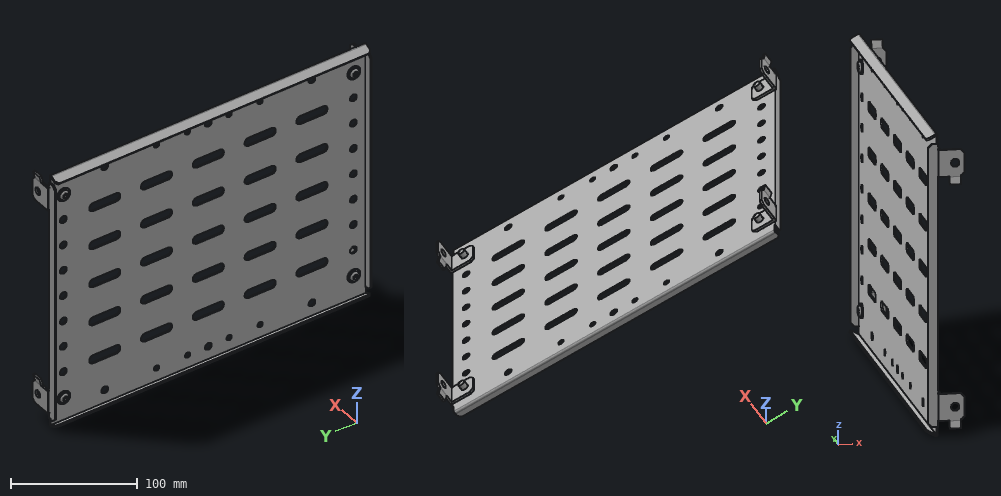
import cadquery as cq
import math

plate_sheet = 1.5
bracket_sheet = 2.0

plate_height = 247.66
plate_width = 306.0
web_width = 304.0
lip_reach = 9.52
lip_angle = 28.0
lip_corner = 2.5
side_flange_depth = 8.0
side_flange_height = 232.0
side_flange_corner = 3.0

slot_length = 30.0
slot_width = 8.0
slot_columns = 5
slot_rows = 5
slot_pitch_y = 50.0
slot_pitch_z = 37.5
hole_dia = 6.5
small_hole_dia = 5.0
side_hole_y = 140.0
side_hole_count = 7
side_hole_pitch = 25.0
edge_hole_z = 110.0
edge_holes_y = (-100.0, 0.0, 100.0)
small_edge_holes_y = (-50.0, -20.0, 20.0, 50.0)

screw_y = side_hole_y
screw_z = 100.0
bracket_outer_y = 154.25
bracket_height = 22.0
leg_length = 22.0
arm_length = 21.0
bracket_corner = 3.0
arm_hole_dia = 6.5
arm_hole_x = 13.5
tab_width = 9.0
tab_offset = 1.5
tab_lean = 13.5

thread_dia = 6.0
thread_end = 7.0
flange_dia = 12.0
flange_thickness = 1.0
head_dia = 9.0
head_height = 2.0
head_rounding = 1.5
socket_across_flats = 4.0
socket_depth = 2.0


def yz_cutter(points, diameter):
    """Round bars along X, long enough to pass through the plate web."""
    start = cq.Workplane("YZ", origin=(-2 * plate_sheet, 0, 0))
    return start.pushPoints(points).circle(diameter / 2).extrude(4 * plate_sheet)


def make_lipped_web():
    """Web with a sloping flange folded forward along its upper and lower edges."""
    angle = math.radians(lip_angle)
    normal = (-math.sin(angle), math.cos(angle))
    fold_z = plate_height / 2 - plate_sheet
    half_arc = math.radians(lip_angle + 90) / 2
    arc_middle = (
        -plate_sheet + plate_sheet * math.cos(half_arc),
        fold_z + plate_sheet * math.sin(half_arc),
    )
    arc_end = (-plate_sheet + plate_sheet * normal[0], fold_z + plate_sheet * normal[1])
    slope_length = (lip_reach + arc_end[0]) / math.cos(angle)
    drop = slope_length * math.sin(angle)
    outer_tip = (-lip_reach, arc_end[1] - drop)
    inner_tip = (outer_tip[0] - plate_sheet * normal[0], outer_tip[1] - plate_sheet * normal[1])
    upper = (
        cq.Workplane("XZ", origin=(0, web_width / 2, 0))
        .moveTo(0, 0)
        .lineTo(0, fold_z)
        .threePointArc(arc_middle, arc_end)
        .lineTo(*outer_tip)
        .lineTo(*inner_tip)
        .lineTo(-plate_sheet, fold_z)
        .lineTo(-plate_sheet, 0)
        .close()
        .extrude(web_width)
    )
    envelope = (
        cq.Workplane("XY")
        .box(lip_reach, web_width, plate_height)
        .edges("|Z and <X")
        .chamfer(lip_corner)
        .translate((-lip_reach / 2, 0, 0))
    )
    return upper.union(upper.mirror("XY")).intersect(envelope)


def make_side_channel():
    """Web with the two square side flanges."""
    outer = cq.Workplane("XY").box(side_flange_depth, plate_width, side_flange_height)
    inside = cq.Workplane("XY").box(side_flange_depth, plate_width - 2 * plate_sheet, side_flange_height)
    channel = outer.cut(inside.translate((-plate_sheet, 0, 0)))
    channel = channel.edges("|Y and <X").chamfer(side_flange_corner)
    return channel.translate((-side_flange_depth / 2, 0, 0))


def make_plate():
    """Folded plate with its slot grid, edge holes and screw holes."""
    plate = make_lipped_web().union(make_side_channel())
    slots = (
        cq.Workplane("YZ", origin=(-2 * plate_sheet, 0, 0))
        .rarray(slot_pitch_y, slot_pitch_z, slot_columns, slot_rows)
        .slot2D(slot_length, slot_width)
        .extrude(4 * plate_sheet)
    )
    first_z = -side_hole_pitch * (side_hole_count - 1) / 2
    side_holes = [
        (y, first_z + i * side_hole_pitch)
        for y in (-side_hole_y, side_hole_y)
        for i in range(side_hole_count)
    ]
    edge_rows = (-edge_hole_z, edge_hole_z)
    edge_holes = [(y, z) for y in edge_holes_y for z in edge_rows]
    small_holes = [(y, z) for y in small_edge_holes_y for z in edge_rows]
    screw_holes = [(y, z) for y in (-screw_y, screw_y) for z in (-screw_z, screw_z)]
    plate = plate.cut(slots)
    plate = plate.cut(yz_cutter(side_holes + edge_holes, hole_dia))
    plate = plate.cut(yz_cutter(small_holes, small_hole_dia))
    return plate.cut(yz_cutter(screw_holes, thread_dia))


def make_tab():
    """Tab rising from the top of the arm and leaning outward (+Y)."""
    root_z = bracket_height / 2
    lean = math.radians(tab_lean)
    inner_y = bracket_outer_y - bracket_sheet
    outer_tip = (bracket_outer_y + tab_offset, root_z + tab_offset / math.tan(lean))
    inner_tip = (
        outer_tip[0] - bracket_sheet * math.cos(lean),
        outer_tip[1] + bracket_sheet * math.sin(lean),
    )
    inner_bend_z = root_z + bracket_sheet * math.tan(lean / 2)
    return (
        cq.Workplane("YZ", origin=(arm_hole_x - tab_width / 2, 0, 0))
        .moveTo(bracket_outer_y, root_z)
        .lineTo(*outer_tip)
        .lineTo(*inner_tip)
        .lineTo(inner_y, inner_bend_z)
        .lineTo(inner_y, root_z)
        .close()
        .extrude(tab_width)
    )


def make_bracket():
    """Angle bracket for the +Y edge of the plate, centred on Z = 0."""
    leg = (
        cq.Workplane("XY")
        .box(bracket_sheet, leg_length, bracket_height, centered=(False, False, True))
        .translate((0, bracket_outer_y - leg_length, 0))
        .edges("|X and <Y")
        .chamfer(bracket_corner)
    )
    arm = (
        cq.Workplane("XY")
        .box(arm_length, bracket_sheet, bracket_height, centered=(False, False, True))
        .translate((0, bracket_outer_y - bracket_sheet, 0))
        .edges("|Y and >X")
        .chamfer(bracket_corner)
    )
    arm_hole = (
        cq.Workplane("XZ", origin=(arm_hole_x, bracket_outer_y, 0))
        .circle(arm_hole_dia / 2)
        .extrude(bracket_sheet)
    )
    bracket = leg.union(arm).union(make_tab()).cut(arm_hole)
    return bracket.cut(yz_cutter([(screw_y, 0)], thread_dia))


def make_screw():
    """Flanged screw on the X axis, its flange seated on the front of the web."""
    seat = -plate_sheet
    head_base = seat - flange_thickness
    head_top = head_base - head_height
    shank = cq.Workplane("YZ", origin=(seat, 0, 0)).circle(thread_dia / 2).extrude(thread_end - seat)
    flange = cq.Workplane("YZ", origin=(seat, 0, 0)).circle(flange_dia / 2).extrude(-flange_thickness)
    head = cq.Workplane("YZ", origin=(head_base, 0, 0)).circle(head_dia / 2).extrude(-head_height)
    head = head.faces("<X").edges().fillet(head_rounding)
    socket = (
        cq.Workplane("YZ", origin=(head_top, 0, 0))
        .polygon(6, socket_across_flats, circumscribed=True)
        .extrude(socket_depth)
    )
    return shank.union(flange).union(head).cut(socket)


plate = make_plate()
brackets = []
screws = []
for corner_z in (-screw_z, screw_z):
    right_bracket = make_bracket()
    left_bracket = right_bracket.rotate((0, 0, 0), (1, 0, 0), 180)
    for bracket in (right_bracket, left_bracket):
        brackets.append(bracket.translate((0, 0, corner_z)).val())
    for corner_y in (-screw_y, screw_y):
        screws.append(make_screw().translate((0, corner_y, corner_z)).val())

result = cq.Compound.makeCompound([plate.val(), *brackets, *screws])